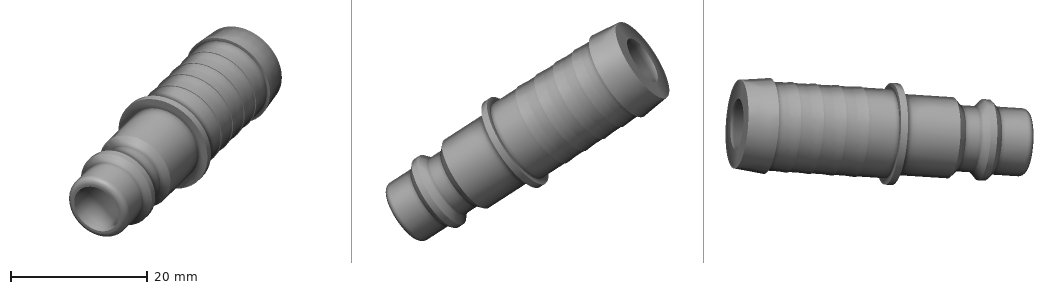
import cadquery as cq
import math

total_length = 44.0
nose_length = 5.0
nose_round = 0.95
ring_start = 6.0
ring_end = 7.0
groove_start = 8.1
groove_end = 10.45
body_start = 11.55
flange_start = 19.98
flange_thickness = 1.05
collar_length = 4.55
barb_count = 4
barbed_length = 13.8

flange_diameter = 15.0
bore_radius = 3.75
nose_radius = 5.0
groove_radius = 4.9
body_radius = 6.0
flange_radius = flange_diameter / 2
tail_radius = 6.55
barb_radius = 6.7
collar_radius = 7.1

flange_end = flange_start + flange_thickness
collar_start = total_length - collar_length
barb_length = barbed_length / (2 * barb_count)


def nozzle_outline():
    """Half section, as (radius, Y), of the bored tube from its nose to its hose end."""
    nose_face_radius = nose_radius - nose_round
    round_mid = (
        nose_face_radius + nose_round * math.sin(math.radians(45)),
        nose_round * (1 - math.cos(math.radians(45))),
    )
    outline = (
        cq.Workplane("XY")
        .moveTo(bore_radius, 0)
        .lineTo(nose_face_radius, 0)
        .threePointArc(round_mid, (nose_radius, nose_round))
        .lineTo(nose_radius, nose_length)
        .lineTo(body_radius, ring_start)
        .lineTo(body_radius, ring_end)
        .lineTo(groove_radius, groove_start)
        .lineTo(groove_radius, groove_end)
        .lineTo(body_radius, body_start)
        .lineTo(body_radius, flange_start)
        .lineTo(flange_radius, flange_start)
        .lineTo(flange_radius, flange_end)
        .lineTo(tail_radius, flange_end)
    )
    first_barb = collar_start - barbed_length
    for index in range(barb_count):
        barb_start = first_barb + 2 * index * barb_length
        outline = (
            outline.lineTo(tail_radius, barb_start)
            .lineTo(barb_radius, barb_start)
            .lineTo(tail_radius, barb_start + barb_length)
        )
    return (
        outline.lineTo(tail_radius, collar_start)
        .lineTo(collar_radius, collar_start)
        .lineTo(tail_radius, total_length)
        .lineTo(bore_radius, total_length)
        .close()
    )


result = nozzle_outline().revolve(360, (0, 0, 0), (0, 1, 0))